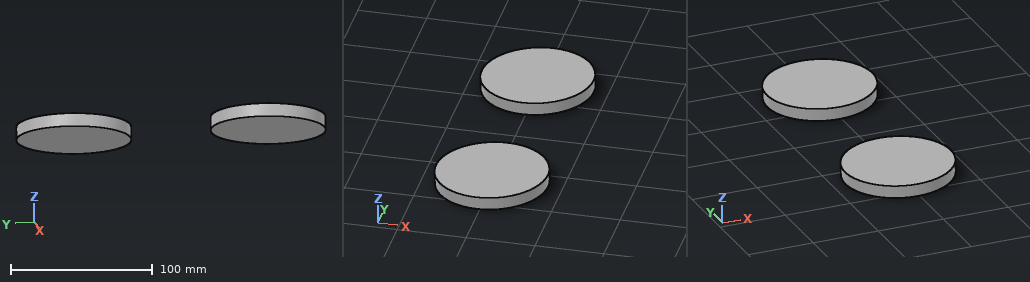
import cadquery as cq

overall_length = 221.0
disc_diameter = 81.3
disc_thickness = 9.5
tilt_angle = 1.65

disc_spacing = overall_length - disc_diameter


def make_disc(center_y):
    """Flat round disc centred at center_y and tilted about its own Y axis."""
    return (
        cq.Workplane("XY")
        .circle(disc_diameter / 2)
        .extrude(disc_thickness)
        .translate((0, 0, -disc_thickness / 2))
        .rotate((0, 0, 0), (0, 1, 0), -tilt_angle)
        .translate((0, center_y, 0))
    )


discs = [make_disc(side * disc_spacing / 2) for side in (-1, 1)]

result = cq.Compound.makeCompound([disc.val() for disc in discs])